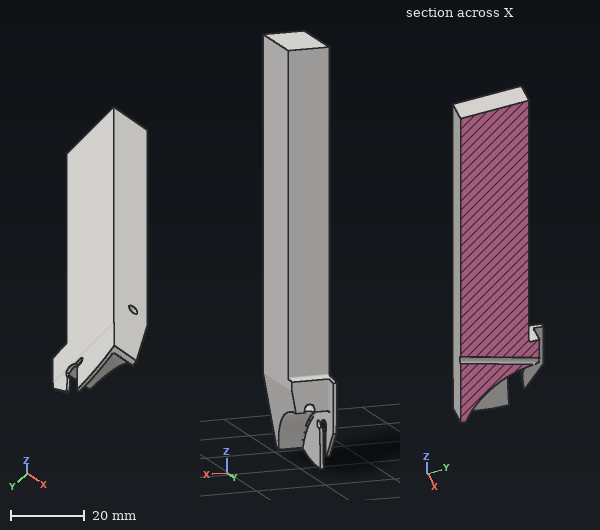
import cadquery as cq
import math


shank_width = 12.0
shank_depth = 20.0
total_height = 119.0

head_depth = 26.0
ledge_height = 27.05
ledge_end = 22.2
ledge_slope = 10.0
ledge_fillet = 0.6

finger_shoulder_height = 12.2
finger_tip_outer = (20.75, 4.7)
finger_tip_inner = (20.3, 4.7)
finger_bulge_bottom = (19.95, 8.4)
finger_bulge_top = (19.95, 11.0)
finger_root_bottom = (20.3, 11.9)
finger_root_top = (20.35, 13.6)

seat_crown = (18.9, 14.45)
seat_crown_end = (17.2, 13.8)
seat_ramp_end = (16.4, 13.3)
seat_notch_depth = 14.2
seat_notch_top = seat_ramp_end[1]
seat_notch_bottom = 11.4
seat_notch_reach = 0.75
seat_notch_apex = (seat_notch_depth - seat_notch_reach, (seat_notch_top + seat_notch_bottom) / 2)

jaw_shelf_depth = 14.9
jaw_corner_middle = (15.4, 10.9)
jaw_corner_end = (15.6, 10.0)
jaw_bend = (15.8, 3.8)
jaw_tip_depth = 16.0

blade_thickness = 1.2
relief_fillet = 0.5
cut_margin = 1.0
body_end = 23.0
relief_start_depth = 1.6
relief_middle = (12.0, 15.0)
relief_end_height = 18.0

step_depth = 0.2
step_top = 14.9
step_bottom = 14.2

heel_height = 3.4
underside_radius = (jaw_tip_depth**2 + heel_height**2) / (2 * heel_height)
underside_middle = jaw_tip_depth / 2

taper_start = 24.4
taper_bottom_width = 8.1

hole_diameter = 2.9
hole_x = 6.9
hole_height = 27.1
hole_tilt = 20.0


def underside_height(y):
    """Height of the curved underside at a given depth."""
    return underside_radius - math.sqrt(underside_radius**2 - (jaw_tip_depth - y) ** 2)


ledge_drop = (head_depth - ledge_end) * math.tan(math.radians(ledge_slope))


def side_profile():
    """Outline of the whole tool in the YZ plane, with the open insert seat."""
    return (
        cq.Workplane("YZ")
        .moveTo(0, heel_height)
        .lineTo(0, total_height)
        .lineTo(shank_depth, total_height)
        .lineTo(shank_depth, ledge_height)
        .lineTo(ledge_end, ledge_height)
        .lineTo(head_depth, ledge_height - ledge_drop)
        .lineTo(head_depth, finger_shoulder_height)
        .lineTo(*finger_tip_outer)
        .lineTo(*finger_tip_inner)
        .lineTo(*finger_bulge_bottom)
        .lineTo(*finger_bulge_top)
        .lineTo(*finger_root_bottom)
        .lineTo(*finger_root_top)
        .threePointArc(seat_crown, seat_crown_end)
        .lineTo(*seat_ramp_end)
        .lineTo(seat_notch_depth, seat_notch_top)
        .threePointArc(seat_notch_apex, (seat_notch_depth, seat_notch_bottom))
        .lineTo(jaw_shelf_depth, seat_notch_bottom)
        .threePointArc(jaw_corner_middle, jaw_corner_end)
        .lineTo(*jaw_bend)
        .lineTo(jaw_tip_depth, 0)
        .threePointArc((underside_middle, underside_height(underside_middle)), (0, heel_height))
        .close()
    )


def blade_relief():
    """Space beside the blade, bounded by a curved wall and the body end face."""
    return (
        cq.Workplane("YZ", origin=(blade_thickness, 0, 0))
        .moveTo(relief_start_depth, underside_height(relief_start_depth))
        .threePointArc(relief_middle, (body_end, relief_end_height))
        .lineTo(body_end, total_height)
        .lineTo(head_depth + cut_margin, total_height)
        .lineTo(head_depth + cut_margin, -cut_margin)
        .lineTo(relief_start_depth, -cut_margin)
        .close()
        .extrude(shank_width)
        .faces("<X")
        .edges()
        .fillet(relief_fillet)
    )


def sunken_side():
    """Shallow step with a sloped shoulder along the lower side of the blade."""
    return (
        cq.Workplane("XZ")
        .moveTo(0, step_top)
        .lineTo(step_depth, step_bottom)
        .lineTo(step_depth, 0)
        .lineTo(0, 0)
        .close()
        .extrude(-head_depth)
    )


def side_taper():
    """Wedge removed from the lower end of the side away from the blade."""
    return (
        cq.Workplane("XZ")
        .moveTo(shank_width, taper_start)
        .lineTo(taper_bottom_width, heel_height)
        .lineTo(taper_bottom_width, 0)
        .lineTo(shank_width, 0)
        .close()
        .extrude(-head_depth)
    )


def coolant_hole():
    """Drill that enters the back face and slopes down out of the relief wall."""
    tilt = math.radians(hole_tilt)
    along = cq.Vector(0, math.cos(tilt), -math.sin(tilt))
    entry = cq.Vector(hole_x, 0, hole_height)
    start = entry - along * hole_diameter
    return cq.Solid.makeCylinder(hole_diameter / 2, 2 * head_depth, start, along)


holder = (
    side_profile()
    .extrude(shank_width)
    .edges(cq.NearestToPointSelector((shank_width / 2, shank_depth, ledge_height)))
    .fillet(ledge_fillet)
    .cut(blade_relief())
    .cut(sunken_side())
    .cut(side_taper())
    .cut(coolant_hole())
)

result = cq.Compound.makeCompound([holder.val()])